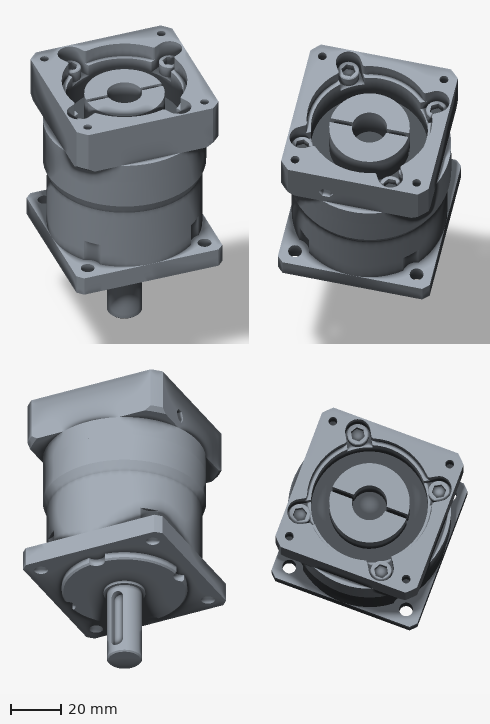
import cadquery as cq
import math

TOTAL_HEIGHT = 112.0
COLLAR_BOTTOM = 30.9
PILOT_BOTTOM = 32.0
FLANGE_BOTTOM = 35.0
FLANGE_TOP = 43.0
NECK_TOP = 52.5
CONE_BOTTOM = 69.4
CONE_TOP = 73.6
JOINT = 85.5
BLOCK_BOTTOM = 93.5
POCKET_FLOOR = 91.6
LEDGE_DEPTH = 6.0
LEDGE = TOTAL_HEIGHT - LEDGE_DEPTH

SHAFT_RADIUS = 14.0 / 2
SHAFT_CHAMFER = 0.6
COLLAR_RADIUS = 8.3
PILOT_RADIUS = 25.0
PILOT_CHAMFER = 0.7
PILOT_NOTCH_RADIUS = 3.6
PILOT_NOTCH_HALF_WIDTH = 3.5
FLANGE_SIZE = 61.8
FLANGE_CORNER_RADIUS = 42.0
BODY_RADIUS = FLANGE_SIZE / 2
RIM_RADIUS = 32.5
FIXING_SPACING = 49.5
FLANGE_HOLE_RADIUS = 5.5 / 2
SCALLOP_RADIUS = 5.6
KEYWAY_WIDTH = 5.0
KEYWAY_LENGTH = 25.0
KEYWAY_DEPTH = 3.0
KEYWAY_BOTTOM = 3.4

HUB_RADIUS = 16.0
HUB_BORE_RADIUS = 14.0 / 2
HUB_SLIT_WIDTH = 1.8
INPUT_SHAFT_RADIUS = 10.0

BLOCK_SIZE = 60.0
BLOCK_CORNER_RADIUS = 40.0
BLOCK_CHAMFER = 1.7
LEDGE_RADIUS = 25.0
POCKET_RADIUS = 23.3
TAPPED_HOLE_RADIUS = 3.5 / 2
TAPPED_HOLE_DEPTH = 10.0
DRILL_TIP_ANGLE = 118.0

SCREW_CIRCLE_RADIUS = 28.0
SCREW_FIRST_ANGLE = 30.0
SCREW_SEAT_RADIUS = 5.0
SCREW_SEAT_CORNER_RADIUS = 1.0
SCREW_SEAT_DEPTH = 11.0
SCREW_SEAT = TOTAL_HEIGHT - SCREW_SEAT_DEPTH
SCREW_HEAD_RADIUS = 4.3
SCREW_HEAD_CHAMFER = 0.3
SCREW_HEX_ACROSS_FLATS = 5.0
SCREW_HEX_DEPTH = 3.4

PLUG_RADIUS = 8.0 / 2
PLUG_LENGTH = 6.0
PLUG_Y = 11.0
PLUG_Z = 99.9
PLUG_HEX_ACROSS_FLATS = 5.0
PLUG_HEX_DEPTH = 4.0


def disc(radius, bottom, top):
    return cq.Workplane("XY").workplane(offset=bottom).circle(radius).extrude(top - bottom)


def square_with_turned_corners(size, corner_radius, bottom, top):
    square = cq.Workplane("XY").workplane(offset=bottom).rect(size, size).extrude(top - bottom)
    return square.intersect(disc(corner_radius, bottom, top))


def fixing_points(height):
    """The four corners of the square fixing pattern."""
    plane = cq.Workplane("XY").workplane(offset=height)
    return plane.rect(FIXING_SPACING, FIXING_SPACING, forConstruction=True).vertices()


def fixing_posts(radius, bottom, top):
    """Four cylinders on the square fixing pattern."""
    return fixing_points(bottom).circle(radius).extrude(top - bottom)


def hex_diameter(across_flats):
    return across_flats / math.cos(math.pi / 6)


def output_shaft():
    shaft = disc(SHAFT_RADIUS, 0, PILOT_BOTTOM).faces("<Z").chamfer(SHAFT_CHAMFER)
    keyway = (
        cq.Workplane("XZ", origin=(0, SHAFT_RADIUS, KEYWAY_BOTTOM + KEYWAY_LENGTH / 2))
        .slot2D(KEYWAY_LENGTH, KEYWAY_WIDTH, 90)
        .extrude(KEYWAY_DEPTH)
    )
    return shaft.cut(keyway).union(disc(COLLAR_RADIUS, COLLAR_BOTTOM, PILOT_BOTTOM))


def pilot():
    """Centring spigot with a round notch on each side."""
    spigot = disc(PILOT_RADIUS, PILOT_BOTTOM, FLANGE_BOTTOM).faces("<Z").chamfer(PILOT_CHAMFER)
    notch_distance = math.sqrt(PILOT_RADIUS**2 - PILOT_NOTCH_HALF_WIDTH**2) + math.sqrt(
        PILOT_NOTCH_RADIUS**2 - PILOT_NOTCH_HALF_WIDTH**2
    )
    notches = (
        cq.Workplane("XY")
        .workplane(offset=PILOT_BOTTOM)
        .polarArray(notch_distance, 0, 360, 4)
        .circle(PILOT_NOTCH_RADIUS)
        .extrude(FLANGE_BOTTOM - PILOT_BOTTOM)
    )
    return spigot.cut(notches)


def output_flange():
    flange = square_with_turned_corners(FLANGE_SIZE, FLANGE_CORNER_RADIUS, FLANGE_BOTTOM, FLANGE_TOP)
    return flange.cut(fixing_posts(FLANGE_HOLE_RADIUS, FLANGE_BOTTOM, FLANGE_TOP))


def gear_housing():
    neck = disc(BODY_RADIUS, FLANGE_TOP, NECK_TOP).cut(fixing_posts(SCALLOP_RADIUS, FLANGE_TOP, NECK_TOP))
    profile = [
        (0, NECK_TOP),
        (BODY_RADIUS, NECK_TOP),
        (BODY_RADIUS, CONE_BOTTOM),
        (RIM_RADIUS, CONE_TOP),
        (RIM_RADIUS, JOINT),
        (0, JOINT),
    ]
    barrel = cq.Workplane("XZ").polyline(profile).close().revolve(360, (0, 0), (0, 1))
    return barrel.union(neck)


def input_hub():
    """Split clamping hub on the input shaft."""
    hub = disc(HUB_RADIUS, POCKET_FLOOR, LEDGE)
    slit = (
        cq.Workplane("XY")
        .workplane(offset=POCKET_FLOOR)
        .rect(HUB_SLIT_WIDTH, 2 * HUB_RADIUS)
        .extrude(LEDGE - POCKET_FLOOR)
    )
    hub = hub.cut(slit).cut(disc(HUB_BORE_RADIUS, POCKET_FLOOR, LEDGE))
    return hub.union(disc(INPUT_SHAFT_RADIUS, JOINT, POCKET_FLOOR))


def build_gearbox():
    return output_shaft().union(pilot()).union(output_flange()).union(gear_housing()).union(input_hub())


def adapter_block():
    block = square_with_turned_corners(BLOCK_SIZE, BLOCK_CORNER_RADIUS, BLOCK_BOTTOM, TOTAL_HEIGHT)
    turned = disc(BLOCK_CORNER_RADIUS, BLOCK_BOTTOM, TOTAL_HEIGHT).faces("<Z").chamfer(BLOCK_CHAMFER)
    return block.intersect(turned).union(disc(RIM_RADIUS, JOINT, BLOCK_BOTTOM))


def tapped_holes():
    """Blind holes with conical ends."""
    tip = TAPPED_HOLE_RADIUS / math.tan(math.radians(DRILL_TIP_ANGLE / 2))
    profile = [
        (0, 0),
        (TAPPED_HOLE_RADIUS, 0),
        (TAPPED_HOLE_RADIUS, -TAPPED_HOLE_DEPTH),
        (0, -TAPPED_HOLE_DEPTH - tip),
    ]
    hole = cq.Workplane("XZ").polyline(profile).close().revolve(360, (0, 0), (0, 1)).val()
    return fixing_points(TOTAL_HEIGHT).eachpoint(lambda place: hole.moved(place))


def around_screw_circle(shape):
    """The four copies of a shape that is drawn on the +X side, as one workplane."""
    copies = cq.Workplane("XY")
    for quarter in range(4):
        copies = copies.add(shape.rotate((0, 0, 0), (0, 0, 1), SCREW_FIRST_ANGLE + 90 * quarter))
    return copies


def screw_seat(bottom, top):
    """Slot that opens into the pocket, on the +X side."""
    seat = disc(SCREW_SEAT_RADIUS, bottom, top).translate((SCREW_CIRCLE_RADIUS, 0, 0))
    opening = (
        cq.Workplane("XY")
        .workplane(offset=bottom)
        .center(SCREW_CIRCLE_RADIUS / 2, 0)
        .rect(SCREW_CIRCLE_RADIUS, 2 * SCREW_SEAT_RADIUS)
        .extrude(top - bottom)
    )
    return seat.union(opening)


def pilot_recess():
    """Recess in the top face, running into the four screw seats with rounded corners."""
    recess = disc(LEDGE_RADIUS, LEDGE, TOTAL_HEIGHT).rotate((0, 0, 0), (0, 0, 1), SCREW_FIRST_ANGLE)
    for seat in around_screw_circle(screw_seat(LEDGE, TOTAL_HEIGHT)).vals():
        recess = recess.union(cq.Workplane(seat))

    def on_pilot_circle(edge):
        return math.isclose(math.hypot(edge.Center().x, edge.Center().y), LEDGE_RADIUS)

    return recess.edges("|Z").filter(on_pilot_circle).fillet(SCREW_SEAT_CORNER_RADIUS)


def screw_head():
    """Socket cap head standing in the seat, on the +X side."""
    head = disc(SCREW_HEAD_RADIUS, SCREW_SEAT, LEDGE).faces(">Z").chamfer(SCREW_HEAD_CHAMFER)
    socket = (
        cq.Workplane("XY")
        .workplane(offset=LEDGE)
        .polygon(6, hex_diameter(SCREW_HEX_ACROSS_FLATS))
        .extrude(-SCREW_HEX_DEPTH)
    )
    return head.cut(socket).translate((SCREW_CIRCLE_RADIUS, 0, 0))


def build_adapter():
    adapter = (
        adapter_block()
        .cut(pilot_recess())
        .cut(disc(POCKET_RADIUS, POCKET_FLOOR, LEDGE))
        .cut(disc(INPUT_SHAFT_RADIUS, JOINT, POCKET_FLOOR))
        .cut(tapped_holes())
        .cut(plug_blank())
    )
    for seat in around_screw_circle(screw_seat(SCREW_SEAT, LEDGE)).vals():
        adapter = adapter.cut(cq.Workplane(seat))
    for head in around_screw_circle(screw_head()).vals():
        adapter = adapter.union(cq.Workplane(head))
    return adapter


def plug_face():
    return cq.Workplane("YZ", origin=(-BLOCK_SIZE / 2, PLUG_Y, PLUG_Z))


def plug_blank():
    return plug_face().circle(PLUG_RADIUS).extrude(PLUG_LENGTH)


def build_plug():
    socket = plug_face().polygon(6, hex_diameter(PLUG_HEX_ACROSS_FLATS)).extrude(PLUG_HEX_DEPTH)
    return plug_blank().cut(socket)


gearbox = build_gearbox()
adapter = build_adapter()
plug = build_plug()

result = cq.Compound.makeCompound([gearbox.val(), adapter.val(), plug.val()])